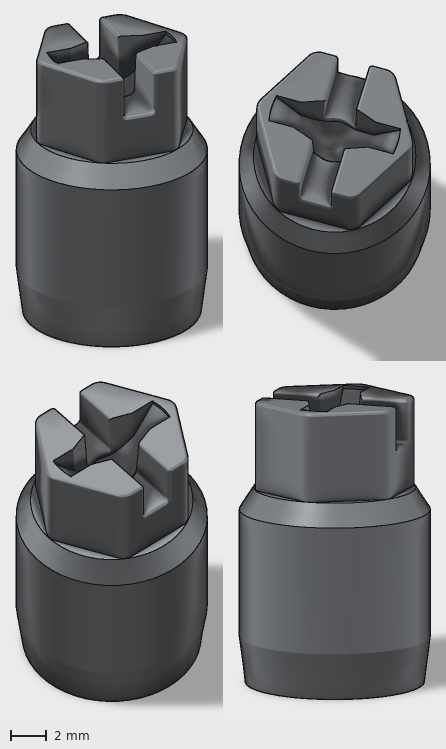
import cadquery as cq
import math

total_height = 16.11
body_diameter = 10.66
base_diameter = 9.99
base_taper_height = 2.63
shoulder_start = 9.83
shoulder_top = 11.08
shoulder_diameter = 9.05

hex_across_flats = 7.99
hex_corner_radius = 0.8
edge_radius = 0.2

slot_width = 1.8
slot_depth = 2.5
slot_floor = total_height - slot_depth

recess_width = 1.55
recess_radius = 1.47
flare_start = 2.16
recess_end_radius = 3.67
recess_end_depth = 0.18
recess_cone_depth = 4.03
recess_draft = 5.0
recess_overrun = 0.32
crossing_radius = 0.16


def make_body():
    """Revolve the round body with its tapered base and conical shoulder."""
    profile = [
        (0, 0),
        (base_diameter / 2, 0),
        (body_diameter / 2, base_taper_height),
        (body_diameter / 2, shoulder_start),
        (shoulder_diameter / 2, shoulder_top),
        (0, shoulder_top),
    ]
    return cq.Workplane("XZ").polyline(profile).close().revolve(360, (0, 0), (0, 1))


def make_slotted_head():
    """Build the hexagon with rounded corners and cut the cross slot through it."""
    hex_across_corners = hex_across_flats / math.cos(math.pi / 6)
    head = (
        cq.Workplane("XY")
        .workplane(offset=shoulder_top)
        .transformed(rotate=(0, 0, 30))
        .polygon(6, hex_across_corners)
        .extrude(total_height - shoulder_top)
        .edges("|Z")
        .fillet(hex_corner_radius)
    )
    slot = (
        cq.Workplane("XY")
        .workplane(offset=slot_floor)
        .rect(body_diameter, slot_width)
        .extrude(2 * slot_depth)
        .edges("|X and <Z")
        .fillet(edge_radius)
    )
    return head.cut(slot)


def round_outer_edges(head):
    """Round the top outline of both halves and the slot mouths on the two X flats."""
    top_edges = head.faces(">Z").edges()
    mouth_zone = cq.selectors.BoxSelector(
        (-body_diameter, -slot_width / 2 - edge_radius, slot_floor - edge_radius),
        (body_diameter, slot_width / 2 + edge_radius, total_height - edge_radius),
    )
    mouth_edges = head.faces("<X or >X").edges(mouth_zone)
    return top_edges.add(mouth_edges).fillet(edge_radius)


def make_recess():
    """Drafted slit with a round, flared middle, limited by a conical floor."""
    half_width = recess_width / 2
    half_length = recess_end_radius + recess_overrun
    corner_distance = math.hypot(half_width, flare_start)
    tangent_angle = math.atan2(flare_start, half_width) - math.acos(recess_radius / corner_distance)
    tangent_x = recess_radius * math.cos(tangent_angle)
    tangent_y = recess_radius * math.sin(tangent_angle)

    drafted = (
        cq.Workplane("XY", origin=(0, 0, total_height))
        .moveTo(-half_width, half_length)
        .lineTo(half_width, half_length)
        .lineTo(half_width, flare_start)
        .lineTo(tangent_x, tangent_y)
        .threePointArc((recess_radius, 0), (tangent_x, -tangent_y))
        .lineTo(half_width, -flare_start)
        .lineTo(half_width, -half_length)
        .lineTo(-half_width, -half_length)
        .lineTo(-half_width, -flare_start)
        .lineTo(-tangent_x, -tangent_y)
        .threePointArc((-recess_radius, 0), (-tangent_x, tangent_y))
        .lineTo(-half_width, flare_start)
        .close()
        .extrude(-recess_cone_depth, taper=recess_draft)
    )
    floor_profile = [
        (0, total_height),
        (recess_end_radius, total_height),
        (recess_end_radius, total_height - recess_end_depth),
        (0, total_height - recess_cone_depth),
    ]
    floor_limit = cq.Workplane("XZ").polyline(floor_profile).close().revolve(360, (0, 0), (0, 1))
    return drafted.intersect(floor_limit)


def round_recess_crossing(head):
    """Round the corners and floor edges where the cross slot opens into the recess."""
    crossing_zone = cq.selectors.BoxSelector(
        (-recess_radius, -slot_width / 2 - crossing_radius, slot_floor - crossing_radius / 2),
        (recess_radius, slot_width / 2 + crossing_radius, total_height - crossing_radius),
    )
    return head.edges(crossing_zone).fillet(crossing_radius)


slotted_head = make_slotted_head()
head_inside = round_recess_crossing(slotted_head.cut(make_recess()))
head = head_inside.intersect(round_outer_edges(slotted_head))
result = make_body().union(head)